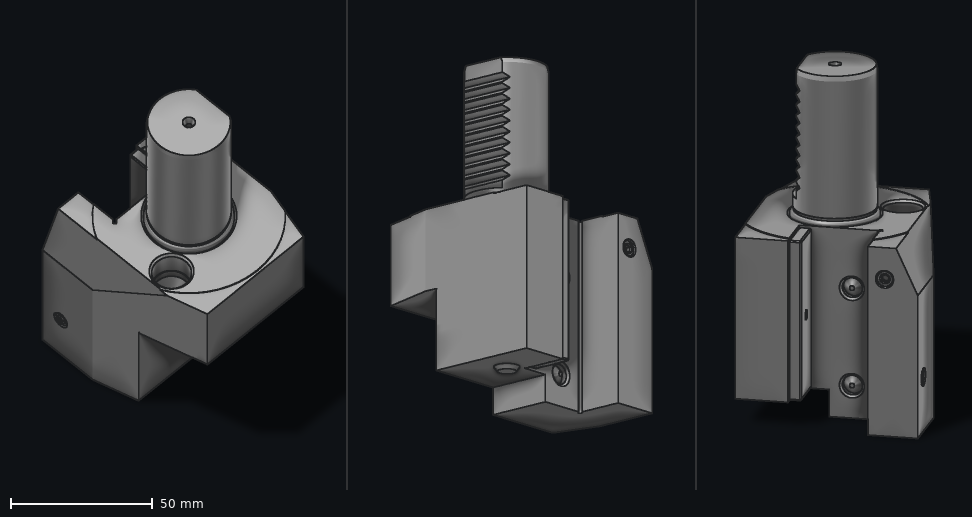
import cadquery as cq
import math


LEFT = -35.0
RIGHT = 35.0
BACK = 28.0
FRONT = -38.0
TOP = 70.0
SIDE_TAPER = math.tan(math.radians(15))
BACK_TAPER_X = 13.0
FRONT_TAPER_X = -10.0
BEVEL_TOP_Y = -30.0
BEVEL_ANGLE = 25.0
OVERHANG_X = 8.0
OVERHANG_Z = 40.0
STEP_Y = -1.8
STEP_Z = 10.0
SEAT_RADIUS = 34.0
SEAT_HEIGHT = 0.31

SLOT_X = -17.0
SLOT_BACK_Y = 9.0
SLOT_FRONT_Y = -20.0
RELIEF_RADIUS = 0.6
RELIEF_REACH = 0.5

SHANK_RADIUS = 15.0
SHANK_TOP = 125.0
TIP_LENGTH = 1.9
TIP_INSET = 0.44
BEAD_RADIUS = 16.0
BEAD_HEIGHT = 1.5
BEAD_GROOVE_RADIUS = 16.9
UNDERCUT_HEIGHT = 1.0
UNDERCUT_DEPTH = 0.2
FLAT_Y = 12.0
FLAT_BOTTOM_Z = 77.1
TOOTH_COUNT = 10
TOOTH_PITCH = 4.0
TOOTH_DEPTH = 1.8
FIRST_TOOTH_Z = 81.6
CENTER_RADIUS = 2.2
CENTER_PILOT_RADIUS = 1.0
CENTER_PILOT_DEPTH = 3.8
CENTER_HALF_ANGLE = math.radians(30)

INLET_X = 12.9
INLET_Y = -21.6
INLET_RADIUS = 7.0
INLET_CHAMFER = 0.9
INLET_DEPTH = 9.0
INLET_DRILL_RADIUS = 6.8
INLET_DRILL_DEPTH = 12.0
DRILL_HALF_ANGLE = math.radians(59)

CONE_Y = -10.0
CONE_HEIGHTS = (12.0, 48.0)
CONE_RADIUS = 3.6
CONE_TIP_RADIUS = 0.9
CONE_DEPTH = 3.0
CONE_HOLE_CHAMFER = 0.9

SCREW_RADIUS = 2.8
SCREW_CHAMFER = 0.5
SCREW_RECESS = 0.6
SOCKET_ACROSS_FLATS = 2.5
SOCKET_DEPTH = 2.0
SOCKET_MOUTH_RADIUS = 1.9
SOCKET_MOUTH_DEPTH = 0.5
FRONT_SCREW_X = -26.0
FRONT_SCREW_Z = 20.0
SIDE_SCREW_Y = -26.0
SIDE_SCREW_Z = 58.0

PLUG_X = (LEFT + OVERHANG_X) / 2
PLUG_Y = 14.6
PLUG_RADIUS = 4.6
PLUG_END_RADIUS = 3.4
PLUG_HEIGHT = 1.6

PLATE_LEFT = -34.0
PLATE_RIGHT = -17.9
PLATE_THICKNESS = 4.6
PLATE_END_GAP = 0.5
PLATE_CHAMFER = 0.5
PLATE_HOLE_RADIUS = 1.8
PLATE_HOLE_DEPTH = 0.5


def span_box(x_range, y_range, z_range):
    """Box between two limits along each axis."""
    sizes = [high - low for low, high in (x_range, y_range, z_range)]
    corner = (x_range[0], y_range[0], z_range[0])
    return cq.Workplane("XY").box(*sizes, centered=False).translate(corner)


def make_block():
    outline = [
        (LEFT, FRONT),
        (FRONT_TAPER_X, FRONT),
        (RIGHT, FRONT + (RIGHT - FRONT_TAPER_X) * SIDE_TAPER),
        (RIGHT, BACK - (RIGHT - BACK_TAPER_X) * SIDE_TAPER),
        (BACK_TAPER_X, BACK),
        (LEFT, BACK),
    ]
    block = cq.Workplane("XY").polyline(outline).close().extrude(TOP)

    overhang = span_box((OVERHANG_X, RIGHT), (FRONT, BACK), (0, OVERHANG_Z))
    step = span_box((LEFT, RIGHT), (STEP_Y, BACK), (0, STEP_Z))
    block = block.cut(overhang).cut(step)

    bevel_drop = (BEVEL_TOP_Y - FRONT) / math.tan(math.radians(BEVEL_ANGLE))
    bevel_section = [(FRONT, TOP - bevel_drop), (BEVEL_TOP_Y, TOP), (FRONT, TOP)]
    bevel = cq.Workplane("YZ", origin=(LEFT, 0, 0)).polyline(bevel_section).close().extrude(RIGHT - LEFT)
    block = block.cut(bevel)

    around_seat = span_box((LEFT, RIGHT), (FRONT, BACK), (TOP - SEAT_HEIGHT, TOP))
    seat = cq.Workplane("XY").circle(SEAT_RADIUS).extrude(TOP)
    return block.cut(around_seat.cut(seat))


def make_slot():
    """Open tool slot with a relief groove along its inner front corner."""
    slot = span_box((LEFT, SLOT_X), (SLOT_FRONT_Y, SLOT_BACK_Y), (0, TOP))
    straight = RELIEF_REACH * math.sqrt(2)
    relief = (
        cq.Workplane("XY")
        .slot2D(2 * (straight + RELIEF_RADIUS), 2 * RELIEF_RADIUS, -45)
        .extrude(TOP)
        .translate((SLOT_X, SLOT_FRONT_Y, 0))
    )
    return slot.union(relief)


def make_bead_groove():
    """V-shaped ring groove between the bead and the contact face."""
    depth = BEAD_GROOVE_RADIUS - BEAD_RADIUS
    section = [(BEAD_RADIUS, TOP), (BEAD_GROOVE_RADIUS, TOP), (BEAD_RADIUS, TOP - depth)]
    return cq.Workplane("XZ").polyline(section).close().revolve(360, (0, 0), (0, 1))


def make_shank():
    bead_top = TOP + BEAD_HEIGHT
    neck_top = bead_top + UNDERCUT_HEIGHT
    neck_radius = SHANK_RADIUS - UNDERCUT_DEPTH
    bead_round = BEAD_RADIUS - neck_radius
    shank = (
        cq.Workplane("XZ")
        .moveTo(0, TOP)
        .lineTo(BEAD_RADIUS, TOP)
        .lineTo(BEAD_RADIUS, bead_top - bead_round)
        .radiusArc((neck_radius, bead_top), -bead_round)
        .lineTo(neck_radius, neck_top)
        .lineTo(SHANK_RADIUS, neck_top)
        .lineTo(SHANK_RADIUS, SHANK_TOP - TIP_LENGTH)
        .lineTo(SHANK_RADIUS - TIP_INSET, SHANK_TOP)
        .lineTo(0, SHANK_TOP)
        .close()
        .revolve(360, (0, 0), (0, 1))
    )
    return shank.cut(make_clamping_flat()).cut(make_center_hole())


def make_clamping_flat():
    """Flat on the back of the shank with V-shaped clamping grooves across it."""
    cutter = span_box((-SHANK_RADIUS, SHANK_RADIUS), (FLAT_Y, SHANK_RADIUS), (FLAT_BOTTOM_Z, SHANK_TOP))
    for index in range(TOOTH_COUNT):
        z = FIRST_TOOTH_Z + index * TOOTH_PITCH
        section = [(FLAT_Y, z - TOOTH_DEPTH), (FLAT_Y - TOOTH_DEPTH, z), (FLAT_Y, z + TOOTH_DEPTH)]
        groove = cq.Workplane("YZ").polyline(section).close().extrude(SHANK_RADIUS, both=True)
        cutter = cutter.union(groove)
    return cutter


def make_center_hole():
    cone_depth = (CENTER_RADIUS - CENTER_PILOT_RADIUS) / math.tan(CENTER_HALF_ANGLE)
    profile = [
        (0, SHANK_TOP),
        (CENTER_RADIUS, SHANK_TOP),
        (CENTER_PILOT_RADIUS, SHANK_TOP - cone_depth),
        (CENTER_PILOT_RADIUS, SHANK_TOP - cone_depth - CENTER_PILOT_DEPTH),
        (0, SHANK_TOP - cone_depth - CENTER_PILOT_DEPTH),
    ]
    return cq.Workplane("XZ").polyline(profile).close().revolve(360, (0, 0), (0, 1))


def make_inlet():
    """Chamfered blind hole that steps down to a slightly narrower drill with a pointed bottom."""
    profile = [
        (0, 0),
        (INLET_RADIUS + INLET_CHAMFER, 0),
        (INLET_RADIUS, -INLET_CHAMFER),
        (INLET_RADIUS, -INLET_DEPTH),
        (INLET_DRILL_RADIUS, -INLET_DEPTH),
        (INLET_DRILL_RADIUS, -INLET_DRILL_DEPTH),
        (0, -INLET_DRILL_DEPTH - INLET_DRILL_RADIUS / math.tan(DRILL_HALF_ANGLE)),
    ]
    inlet = cq.Workplane("XZ").polyline(profile).close().revolve(360, (0, 0), (0, 1))
    return inlet.translate((INLET_X, INLET_Y, TOP))


def make_cone_recess(z):
    """Chamfered recess in the slot wall, with the blunt cone of a screw left standing in it."""
    tip_level = CONE_RADIUS - CONE_TIP_RADIUS - CONE_DEPTH
    profile = [
        (0, 0),
        (CONE_RADIUS + CONE_HOLE_CHAMFER, 0),
        (CONE_RADIUS, -CONE_HOLE_CHAMFER),
        (CONE_RADIUS, -CONE_DEPTH),
        (CONE_TIP_RADIUS, tip_level),
        (0, tip_level),
    ]
    recess = cq.Workplane("XY").polyline(profile).close().revolve(360, (0, 0), (0, 1))
    return recess.rotate((0, 0, 0), (0, 0, 1), 90).translate((SLOT_X, CONE_Y, z))


def make_disc(plane, radius, depth):
    """Cylinder sunk below an outward facing plane."""
    return cq.Workplane(plane).circle(radius).extrude(-depth)


def make_taper(plane, outer_radius, inner_radius, level, depth):
    """Cone that narrows inward, starting at a level below an outward facing plane."""
    outer = cq.Workplane(plane).workplane(offset=-level).circle(outer_radius)
    return outer.workplane(offset=-depth).circle(inner_radius).loft()


def make_screw_recess(plane):
    """Chamfered screw hole with a countersunk hexagon socket in the sunken screw end."""
    across_corners = SOCKET_ACROSS_FLATS / math.cos(math.radians(30))
    hole = make_disc(plane, SCREW_RADIUS, SCREW_RECESS)
    chamfer = make_taper(plane, SCREW_RADIUS + SCREW_CHAMFER, SCREW_RADIUS, 0, SCREW_CHAMFER)
    mouth_end_radius = SOCKET_ACROSS_FLATS / 2
    mouth = make_taper(plane, SOCKET_MOUTH_RADIUS, mouth_end_radius, SCREW_RECESS, SOCKET_MOUTH_DEPTH)
    socket = cq.Workplane(plane).polygon(6, across_corners).extrude(-SCREW_RECESS - SOCKET_DEPTH)
    return hole.union(chamfer).union(mouth).union(socket)


def make_plug():
    plane = cq.Plane(origin=(PLUG_X, PLUG_Y, STEP_Z))
    return make_taper(plane, PLUG_RADIUS, PLUG_END_RADIUS, 0, PLUG_HEIGHT)


def make_holder():
    front_screw = cq.Plane(origin=(FRONT_SCREW_X, FRONT, FRONT_SCREW_Z), xDir=(0, 0, 1), normal=(0, -1, 0))
    side_screw = cq.Plane(origin=(LEFT, SIDE_SCREW_Y, SIDE_SCREW_Z), xDir=(0, 0, 1), normal=(-1, 0, 0))
    holder = make_block().cut(make_slot()).cut(make_bead_groove()).union(make_shank())
    holder = holder.cut(make_inlet()).union(make_plug())
    for z in CONE_HEIGHTS:
        holder = holder.cut(make_cone_recess(z))
    for plane in (front_screw, side_screw):
        holder = holder.cut(make_screw_recess(plane))
    return holder


def make_plate():
    """Chamfered plate against the back wall of the slot."""
    plate_front = SLOT_BACK_Y - PLATE_THICKNESS
    bottom = STEP_Z + PLATE_END_GAP
    top = TOP - PLATE_END_GAP
    plate = span_box((PLATE_LEFT, PLATE_RIGHT), (plate_front, SLOT_BACK_Y), (bottom, top))
    plate = plate.edges().chamfer(PLATE_CHAMFER)
    center = ((PLATE_LEFT + PLATE_RIGHT) / 2, plate_front, (bottom + top) / 2)
    hole_plane = cq.Plane(origin=center, xDir=(1, 0, 0), normal=(0, -1, 0))
    return plate.cut(make_disc(hole_plane, PLATE_HOLE_RADIUS, PLATE_HOLE_DEPTH))


holder = make_holder()
clamping_plate = make_plate()
result = cq.Compound.makeCompound([holder.val(), clamping_plate.val()])